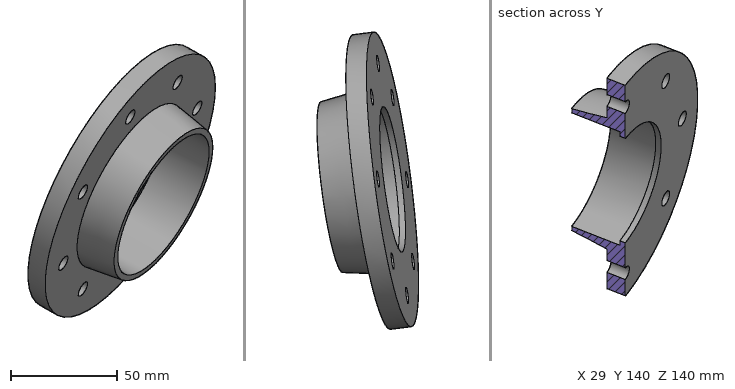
import cadquery as cq

flange_diameter = 140
flange_thickness = 10.0
total_length = 29.0

hub_root_diameter = 87.5
hub_tip_diameter = 81.2

lip_diameter = 69.0
lip_thickness = 3.0
bore_diameter = 75.0

bolt_hole_count = 8
bolt_hole_diameter = 7.5
bolt_circle_diameter = 110.0


def make_body():
    """Revolve the outer half profile of the flange and hub about the X axis."""
    return (
        cq.Workplane("XY")
        .lineTo(0, flange_diameter / 2)
        .lineTo(flange_thickness, flange_diameter / 2)
        .lineTo(flange_thickness, hub_root_diameter / 2)
        .lineTo(total_length, hub_tip_diameter / 2)
        .lineTo(total_length, 0)
        .close()
        .revolve(360, (0, 0, 0), (1, 0, 0))
    )


def make_bore():
    """Cutter for the lip opening and the wider bore behind it."""
    lip_opening = cq.Workplane("YZ").circle(lip_diameter / 2).extrude(total_length)
    wide_bore = (
        cq.Workplane("YZ", origin=(lip_thickness, 0, 0))
        .circle(bore_diameter / 2)
        .extrude(total_length - lip_thickness)
    )
    return lip_opening.union(wide_bore)


def make_bolt_holes():
    """Cutters for the holes through the flange, the first one on the Y axis."""
    return (
        cq.Workplane("YZ")
        .polarArray(bolt_circle_diameter / 2, 0, 360, bolt_hole_count)
        .circle(bolt_hole_diameter / 2)
        .extrude(flange_thickness)
    )


result = make_body().cut(make_bore()).cut(make_bolt_holes())